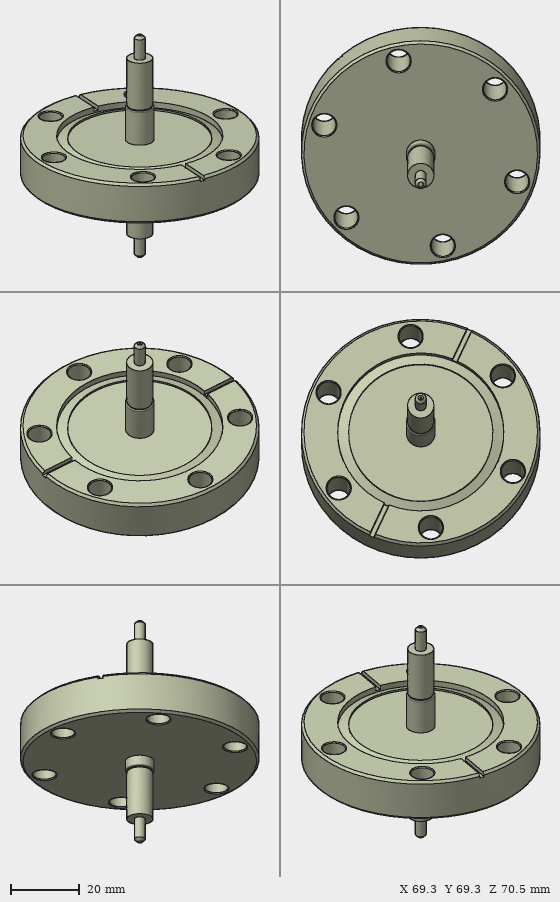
import cadquery as cq
import math

flange_diameter = 69.34
flange_thickness = 12.7
rim_chamfer = 0.75

recess_diameter = 48.26
knife_diameter = 41.9
knife_angle = 20.0
knife_tip_depth = 0.7
floor_depth = 1.25

bolt_count = 6
bolt_circle_diameter = 58.72
bolt_hole_diameter = 6.73
bolt_hole_chamfer = 0.3
first_bolt_angle = 90.0

slot_width = 1.5
slot_depth = 1.3

overall_length = 70.47
sleeve_diameter = 8.33
sleeve_length = 25.2
sleeve_bottom_projection = 3.18
sleeve_edge_radius = 0.2
sleeve_bore_diameter = 7.06
sleeve_bore_depth = 1.0
neck_diameter = 6.2
neck_length = 0.45
insulator_diameter = 7.62
insulator_length = 14.9
pin_diameter = 3.2
pin_tip_chamfer = 0.85
center_hole_diameter = 0.5
center_hole_depth = 0.5

flange_radius = flange_diameter / 2
recess_radius = recess_diameter / 2
knife_radius = knife_diameter / 2
cone_rise = (recess_radius - knife_radius) * math.tan(math.radians(knife_angle))
recess_wall_depth = knife_tip_depth + cone_rise
sleeve_bottom = -sleeve_bottom_projection
sleeve_center = sleeve_bottom + sleeve_length / 2


def cylinder(diameter, length, center_z):
    """Upright cylinder centred at center_z on the Z axis."""
    return cq.Workplane("XY", origin=(0, 0, center_z - length / 2)).circle(diameter / 2).extrude(length)


def revolve_about_axis(profile):
    """Solid of revolution about Z from (radius, height) points."""
    return cq.Workplane("XZ").polyline(profile).close().revolve(360, (0, 0, 0), (0, 1, 0))


def make_flange():
    """Disc with the recess, knife edge and chamfered rim, as one revolved profile."""
    top = flange_thickness
    profile = [
        (0, 0),
        (flange_radius - rim_chamfer, 0),
        (flange_radius, rim_chamfer),
        (flange_radius, top - rim_chamfer),
        (flange_radius - rim_chamfer, top),
        (recess_radius, top),
        (recess_radius, top - recess_wall_depth),
        (knife_radius, top - knife_tip_depth),
        (knife_radius, top - floor_depth),
        (0, top - floor_depth),
    ]
    return revolve_about_axis(profile)


def make_bolt_hole_cutter():
    """Through hole with a chamfered mouth at both faces, on the Z axis."""
    radius = bolt_hole_diameter / 2
    mouth_radius = radius + bolt_hole_chamfer
    profile = [
        (0, 0),
        (mouth_radius, 0),
        (radius, bolt_hole_chamfer),
        (radius, flange_thickness - bolt_hole_chamfer),
        (mouth_radius, flange_thickness),
        (0, flange_thickness),
    ]
    return revolve_about_axis(profile)


def cut_bolt_holes(body):
    cutter = make_bolt_hole_cutter()
    for index in range(bolt_count):
        angle = math.radians(first_bolt_angle + index * 360 / bolt_count)
        x = bolt_circle_diameter / 2 * math.cos(angle)
        y = bolt_circle_diameter / 2 * math.sin(angle)
        body = body.cut(cutter.translate((x, y, 0)))
    return body


def cut_leak_check_slots(body):
    """One slot on each side, from the recess out through the rim."""
    inner_end = math.sqrt(recess_radius**2 - (slot_width / 2) ** 2)
    slot_center = (flange_radius + inner_end) / 2
    slot_length = flange_radius - inner_end
    for side in (-1, 1):
        slot = cq.Workplane("XY").box(slot_length, slot_width, slot_depth, centered=(True, True, False))
        body = body.cut(slot.translate((side * slot_center, 0, flange_thickness - slot_depth)))
    return body


def make_feedthrough():
    """Stepped shaft, mirrored about the sleeve middle, with a small centre hole in the upper tip."""
    neck_span = sleeve_length + 2 * neck_length
    insulator_span = neck_span + 2 * insulator_length
    pin = cylinder(pin_diameter, overall_length, sleeve_center).faces("<Z or >Z").chamfer(pin_tip_chamfer)
    sleeve = cylinder(sleeve_diameter, sleeve_length, sleeve_center).edges().fillet(sleeve_edge_radius)
    for side in (-1, 1):
        bore_center = sleeve_center + side * (sleeve_length - sleeve_bore_depth) / 2
        sleeve = sleeve.cut(cylinder(sleeve_bore_diameter, sleeve_bore_depth, bore_center))
    shaft = pin.union(sleeve).union(cylinder(neck_diameter, neck_span, sleeve_center))
    for side in (-1, 1):
        insulator_center = sleeve_center + side * (neck_span + insulator_span) / 4
        shaft = shaft.union(cylinder(insulator_diameter, insulator_length, insulator_center))
    hole_center = sleeve_center + (overall_length - center_hole_depth) / 2
    return shaft.cut(cylinder(center_hole_diameter, center_hole_depth, hole_center))


flange = cut_leak_check_slots(cut_bolt_holes(make_flange()))
result = flange.union(make_feedthrough())